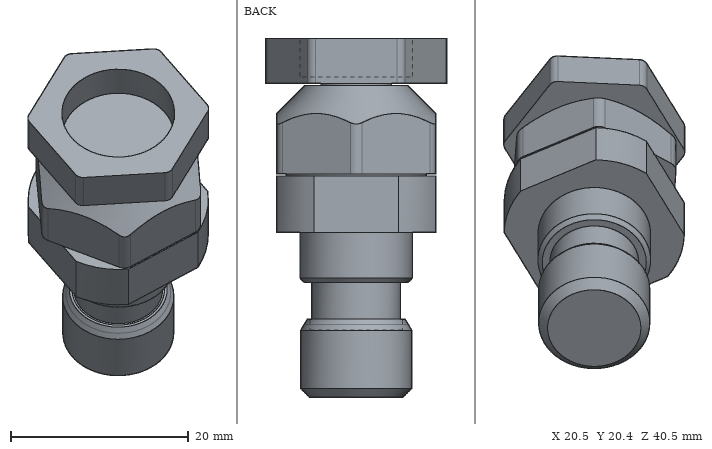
import cadquery as cq
import math

COLLAR_TOP = 8.85
BODY_BOTTOM = 12.95
FLANGE_BOTTOM = 18.65
FLANGE_TOP = 25.0
NUT_BOTTOM = 25.25
NUT_TOP = 35.2
CAP_BOTTOM = 35.45
CAP_TOP = 40.5

ACROSS_FLATS = 18.0

CAP_CORNER_RADIUS = 1.0
CAP_POCKET_DIAMETER = 12.7
CAP_POCKET_DEPTH = 4.35
CAP_NECK_DIAMETER = 8.0

NUT_CORNER_RADIUS = 1.3
NUT_TOP_DIAMETER = 11.65

FLANGE_CORNER_DIAMETER = 20.35
FLANGE_SPIGOT_DIAMETER = 15.85
BARREL_DIAMETER = 12.7
BARREL_CHAMFER = 0.5

SHAFT_DIAMETER = 10.05
SHAFT_FOOT_DIAMETER = 10.45
SHAFT_FOOT_DEPTH = 1.2

COLLAR_DIAMETER = 12.55
COLLAR_SHOULDER_DIAMETER = 11.83
COLLAR_TOP_DIAMETER = 11.05
COLLAR_BEVEL_HEIGHT = 1.25
COLLAR_BOTTOM_CHAMFER = 1.0


def cylinder(diameter, bottom, top):
    """Upright cylinder on the common axis."""
    return cq.Workplane("XY").workplane(offset=bottom).circle(diameter / 2).extrude(top - bottom)


def hexagon_prism(bottom, top, corner_radius):
    """Upright hexagonal prism with corners on +X and -X and rounded vertical edges."""
    across_corners = ACROSS_FLATS / math.cos(math.pi / 6)
    prism = cq.Workplane("XY").workplane(offset=bottom).polygon(6, across_corners).extrude(top - bottom)
    return prism.edges("|Z").fillet(corner_radius)


def make_cap():
    """Hexagonal cap with a round blind pocket, standing on a short neck."""
    head = hexagon_prism(CAP_BOTTOM, CAP_TOP, CAP_CORNER_RADIUS)
    pocket = cylinder(CAP_POCKET_DIAMETER, CAP_TOP - CAP_POCKET_DEPTH, CAP_TOP)
    neck = cylinder(CAP_NECK_DIAMETER, NUT_TOP, CAP_BOTTOM)
    return head.cut(pocket).union(neck)


def make_nut():
    """Hexagonal nut, turned 30 degrees from the cap, with a 45 degree cone over its top."""
    prism = hexagon_prism(NUT_BOTTOM, NUT_TOP, NUT_CORNER_RADIUS)
    prism = prism.rotate((0, 0, 0), (0, 0, 1), 30)
    height = NUT_TOP - NUT_BOTTOM
    top_radius = NUT_TOP_DIAMETER / 2
    cone_profile = [
        (0, NUT_BOTTOM),
        (top_radius + height, NUT_BOTTOM),
        (top_radius, NUT_TOP),
        (0, NUT_TOP),
    ]
    cone = cq.Workplane("XZ").polyline(cone_profile).close().revolve()
    return prism.intersect(cone)


def make_body():
    """Square flange with corners rounded to one circle, a spigot on top and a chamfered barrel below."""
    height = FLANGE_TOP - FLANGE_BOTTOM
    base = cq.Workplane("XY").workplane(offset=FLANGE_BOTTOM)
    square = base.rect(ACROSS_FLATS, ACROSS_FLATS).extrude(height)
    flange = square.intersect(cylinder(FLANGE_CORNER_DIAMETER, FLANGE_BOTTOM, FLANGE_TOP))
    spigot = cylinder(FLANGE_SPIGOT_DIAMETER, FLANGE_TOP, NUT_BOTTOM)
    barrel = cylinder(BARREL_DIAMETER, BODY_BOTTOM, FLANGE_BOTTOM).faces("<Z").chamfer(BARREL_CHAMFER)
    return flange.union(spigot).union(barrel)


def make_shaft():
    """Shaft under the body, with a slightly wider foot that sits flush in the collar."""
    foot = cylinder(SHAFT_FOOT_DIAMETER, COLLAR_TOP - SHAFT_FOOT_DEPTH, COLLAR_TOP)
    stem = cylinder(SHAFT_DIAMETER, COLLAR_TOP, BODY_BOTTOM)
    return stem.union(foot)


def make_collar():
    """Round collar with a two-step bevel, a chamfered bottom edge and a seat for the shaft's foot."""
    radius = COLLAR_DIAMETER / 2
    profile = [
        (0, 0),
        (radius - COLLAR_BOTTOM_CHAMFER, 0),
        (radius, COLLAR_BOTTOM_CHAMFER),
        (radius, COLLAR_TOP - COLLAR_BEVEL_HEIGHT),
        (COLLAR_SHOULDER_DIAMETER / 2, COLLAR_TOP - COLLAR_BEVEL_HEIGHT / 2),
        (COLLAR_TOP_DIAMETER / 2, COLLAR_TOP),
        (0, COLLAR_TOP),
    ]
    seat = cylinder(SHAFT_FOOT_DIAMETER, COLLAR_TOP - SHAFT_FOOT_DEPTH, COLLAR_TOP)
    return cq.Workplane("XZ").polyline(profile).close().revolve().cut(seat)


cap = make_cap()
nut = make_nut()
body = make_body()
shaft = make_shaft()
collar = make_collar()

result = cq.Compound.makeCompound([cap.val(), nut.val(), body.val(), shaft.val(), collar.val()])